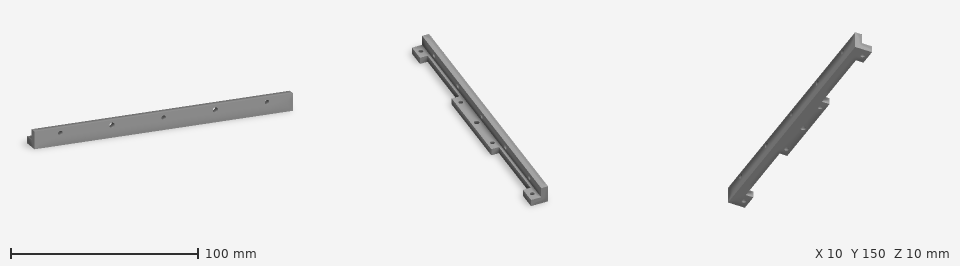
import cadquery as cq

length = 150.0
leg = 10.0
thickness = 4.0

notch_depth = 4.5
end_tab_length = 10.0
middle_tab_length = 50.0

small_diameter = 2.5
large_diameter = 3.0
hole_edge_distance = 3.0
end_hole_inset = 5.0
middle_hole_offset = 20.0
wall_hole_pitch = 30.0

half_leg = leg / 2
hole_x = -half_leg + hole_edge_distance
hole_z = half_leg - hole_edge_distance


def make_rail():
    """L section: flange at the bottom, wall along the +X side."""
    flange = cq.Workplane("XY").box(leg, length, thickness)
    flange = flange.translate((0, 0, (thickness - leg) / 2))
    wall = cq.Workplane("XY").box(thickness, length, leg)
    wall = wall.translate(((leg - thickness) / 2, 0, 0))
    return flange.union(wall)


def make_notches():
    """Two reliefs in the flange edge, between the middle and end tabs."""
    notch_start = middle_tab_length / 2
    notch_end = length / 2 - end_tab_length
    notch_centre = (notch_start + notch_end) / 2
    return (
        cq.Workplane("XY")
        .pushPoints([(-half_leg + notch_depth / 2, side * notch_centre) for side in (-1, 1)])
        .rect(notch_depth, notch_end - notch_start)
        .extrude(leg, both=True)
    )


def flange_holes(positions, diameter):
    """Vertical through holes at the given places along Y."""
    return (
        cq.Workplane("XY")
        .pushPoints([(hole_x, y) for y in positions])
        .circle(diameter / 2)
        .extrude(leg, both=True)
    )


def wall_holes(positions, diameter):
    """Horizontal through holes along X at the given places along Y."""
    return (
        cq.Workplane("YZ")
        .pushPoints([(y, hole_z) for y in positions])
        .circle(diameter / 2)
        .extrude(leg, both=True)
    )


end_hole_y = length / 2 - end_hole_inset
small_flange_positions = [-end_hole_y, -middle_hole_offset, middle_hole_offset, end_hole_y]
small_wall_positions = [step * wall_hole_pitch for step in (-2, 0, 2)]
large_wall_positions = [-wall_hole_pitch, wall_hole_pitch]

result = (
    make_rail()
    .cut(make_notches())
    .cut(flange_holes(small_flange_positions, small_diameter))
    .cut(flange_holes([0], large_diameter))
    .cut(wall_holes(small_wall_positions, small_diameter))
    .cut(wall_holes(large_wall_positions, large_diameter))
)